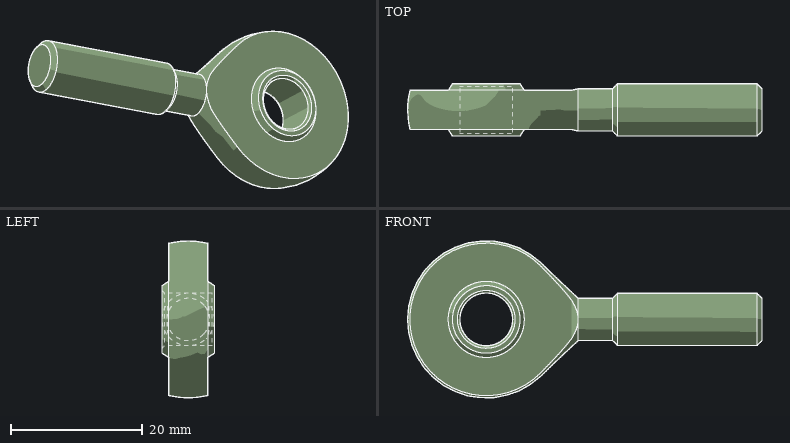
import cadquery as cq
import math


EYE_RADIUS = 12.0
EYE_WIDTH = 6.0
FLAT_END_X = 13.0

NECK_DIAMETER = 6.47
NECK_START_X = 14.0
SHANK_DIAMETER = 8.0
SHANK_END_X = 42.0
SHANK_FULL_X = 20.0
SHANK_CHAMFER = (SHANK_DIAMETER - NECK_DIAMETER) / 2
SHANK_START_X = SHANK_FULL_X - SHANK_CHAMFER

RING_WIDTH = 8.0
RING_DIAMETER = 11.6
RING_FACE_DIAMETER = 10.3
BORE_DIAMETER = 8.0
BORE_CHAMFER = 0.4


def make_rod():
    """Spherical eye, tangent cone, neck and chamfered shank turned about the X axis."""
    neck_radius = NECK_DIAMETER / 2
    shank_radius = SHANK_DIAMETER / 2

    corner_angle = math.atan2(neck_radius, NECK_START_X)
    corner_distance = math.hypot(NECK_START_X, neck_radius)
    tangent_angle = corner_angle + math.acos(EYE_RADIUS / corner_distance)
    tangent_point = (EYE_RADIUS * math.cos(tangent_angle), EYE_RADIUS * math.sin(tangent_angle))
    profile = (
        cq.Workplane("XY")
        .moveTo(-EYE_RADIUS, 0)
        .threePointArc((0, EYE_RADIUS), tangent_point)
        .lineTo(NECK_START_X, neck_radius)
        .lineTo(SHANK_START_X, neck_radius)
        .lineTo(SHANK_FULL_X, shank_radius)
        .lineTo(SHANK_END_X - SHANK_CHAMFER, shank_radius)
        .lineTo(SHANK_END_X, neck_radius)
        .lineTo(SHANK_END_X, 0)
        .close()
    )
    return profile.revolve(360, (0, 0, 0), (1, 0, 0))


def make_flat_envelope():
    """Space kept when the eye is flattened: a slab that flares to the neck and clears the shank."""
    half_width = EYE_WIDTH / 2
    neck_radius = NECK_DIAMETER / 2
    shank_radius = SHANK_DIAMETER / 2
    upper_edge = [
        (-EYE_RADIUS, half_width),
        (FLAT_END_X, half_width),
        (NECK_START_X, neck_radius),
        (SHANK_START_X, neck_radius),
        (SHANK_START_X, shank_radius),
        (SHANK_END_X, shank_radius),
    ]
    lower_edge = [(x, -y) for x, y in reversed(upper_edge)]
    outline = cq.Workplane("XY").polyline(upper_edge + lower_edge).close()
    return outline.extrude(EYE_RADIUS, both=True)


def make_ring():
    """Inner ring that stands proud of both flats, with a conical shoulder on each side."""
    half_eye = EYE_WIDTH / 2
    half_ring = RING_WIDTH / 2
    profile = [
        (0, -half_ring),
        (RING_FACE_DIAMETER / 2, -half_ring),
        (RING_DIAMETER / 2, -half_eye),
        (RING_DIAMETER / 2, half_eye),
        (RING_FACE_DIAMETER / 2, half_ring),
        (0, half_ring),
    ]
    return cq.Workplane("XY").polyline(profile).close().revolve(360, (0, 0, 0), (0, 1, 0))


def make_bore():
    """Through bore along Y, chamfered at both mouths."""
    half_ring = RING_WIDTH / 2
    bore_radius = BORE_DIAMETER / 2
    mouth_radius = bore_radius + BORE_CHAMFER
    profile = [
        (0, -half_ring),
        (mouth_radius, -half_ring),
        (bore_radius, -half_ring + BORE_CHAMFER),
        (bore_radius, half_ring - BORE_CHAMFER),
        (mouth_radius, half_ring),
        (0, half_ring),
    ]
    return cq.Workplane("XY").polyline(profile).close().revolve(360, (0, 0, 0), (0, 1, 0))


flattened_rod = make_rod().intersect(make_flat_envelope())
result = flattened_rod.union(make_ring()).cut(make_bore())